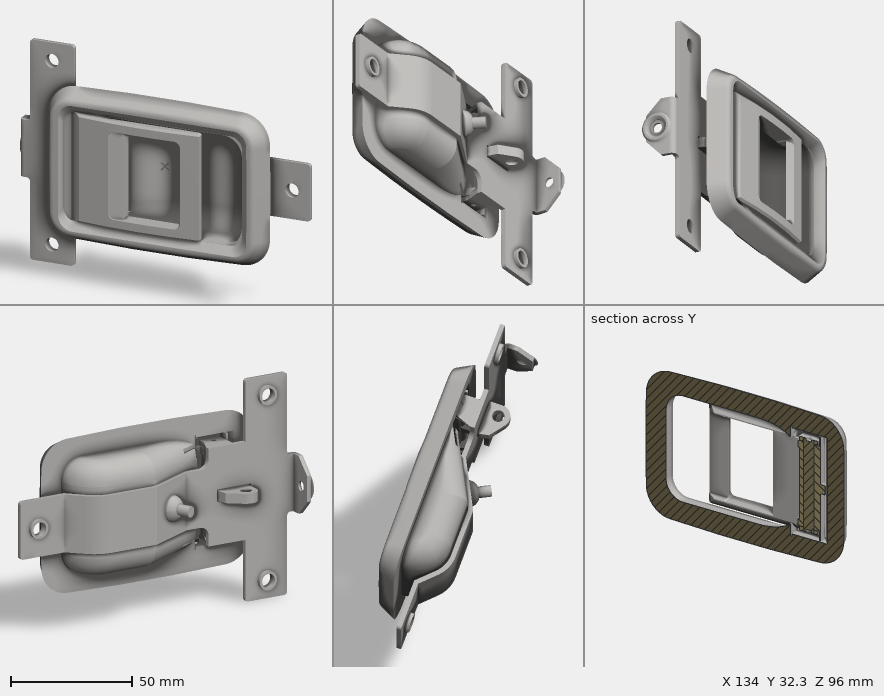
import cadquery as cq
import math


SHEET = 2.0
TOTAL_LENGTH = 134.0
STRIP_LEFT = 5.8
STRIP_WIDTH = 20.1
STRIP_RIGHT = STRIP_LEFT + STRIP_WIDTH
STRIP_HEIGHT = 96.0
BAND_HEIGHT = 24.9
CORNER_RADIUS = 1.3
FIX_HOLE = 6.0
FIX_SPACING = 80.1
TAB_HOLE_INSET = 8.3
COLLAR_DIAMETER = 8.3
COLLAR_HEIGHT = 1.7

RAMP_START = 54.0
RAMP_END = 74.7
RAMP_RISE = 10.6
RAMP_ANGLE = math.degrees(math.atan2(RAMP_RISE, RAMP_END - RAMP_START))
RAMP_SLOPE = RAMP_RISE / (RAMP_END - RAMP_START)
CREST_END = 96.3
CREST_RADIUS = 14.0
CREST_ROLL = 45.0

FLANGE_LEFT = 0.8
FLANGE_TOP = 13.0
FLANGE_TAPER_START = 6.2
BEND_RADIUS = 2.3

EAR_LEFT = 31.1
EAR_RIGHT = 43.5
EAR_TIP_RIGHT = 40.9
EAR_TIP = -10.0
EAR_INNER = 19.2
EAR_OUTER = EAR_INNER + SHEET
EAR_ROOT_RADIUS = 4.0

GROMMET_Y = 8.2
GROMMET_RIM_RADIUS = 6.5
GROMMET_FACE_RADIUS = 5.8
GROMMET_NECK_RADIUS = 4.8
GROMMET_BORE_RADIUS = 2.1
GROMMET_RECESS_RADIUS = 3.5
GROMMET_RECESS_DEPTH = 1.6
GROMMET_MOUTH_CHAMFER = 1.3

PIVOT_X = 35.9
PIVOT_Y = -6.8
PIN_RADIUS = 2.5
PIN_DIMPLE_RADIUS = 1.2
PIN_DIMPLE_DEPTH = 1.1

BEZEL_LEFT = 18.1
BEZEL_RIGHT = 118.5
BEZEL_BACK = -6.5
BEZEL_FRONT = -14.9
BEZEL_HALF_HEIGHT = 32.8
BEZEL_BOW_Z = 1.2
BEZEL_BOW_X = 0.4
BEZEL_CORNER = 12.9
BEZEL_INSET = 4.2
BEZEL_EDGE_RADIUS = 2.4
WALL = 1.0
DISH_RIGHT = 109.3
DISH_TOP = 9.8
DISH_HALF_HEIGHT = 24.8
DISH_END_RADIUS = 14.7
DISH_EDGE_RADIUS = 9.4
OPENING_LEFT = 26.9
OPENING_RIGHT = 44.5
LIP_X = 29.9
LIP_Y = -10.5
LIP_RELIEF_X = 26.3
MOUTH_DEPTH = 3.2
MOUTH_SLOPE = 3.5
MOUTH_LEFT_SLOPE = 1.1
MOUTH_BOW = 0.1
MOUTH_CORNER = 5.2
TONGUE_START = 45.7
TONGUE_END = 52.9
TONGUE_GAP = 1.0
BEAD_RADIUS = 0.7

PADDLE_LEFT = 29.7
PADDLE_RIGHT = 90.2
PADDLE_HALF_HEIGHT = 23.6
PADDLE_BEVEL = 34.8
PADDLE_LEFT_EDGE_Y = -10.0
PADDLE_PEAK_Y = -16.0
PADDLE_PEAK_X = 66.7
PADDLE_TIP_Y = -14.7
PADDLE_BACK = -8.3
PADDLE_HUB_BACK = -5.6
PADDLE_HUB_RIGHT = 40.9
PADDLE_BACK_END = 85.0
PADDLE_END_BACK = -12.0
PADDLE_EDGE = 1.0
PADDLE_BACK_MID = (PADDLE_HUB_RIGHT + PADDLE_BACK_END) / 2
PADDLE_BACK_CHAMFER = 3.9
WINDOW_LEFT = 48.9
WINDOW_RAMP_END = 54.9
WINDOW_RAMP_Y = -13.0
WINDOW_RIGHT = 81.8
WINDOW_DRAFT = 1.3
WINDOW_DRAFT_Y = -12.3
WINDOW_HALF_HEIGHT = 19.2
WINDOW_CORNER = 2.7
KNUCKLE_RADIUS = 5.5
KNUCKLE_INNER = 16.0
EAR_POCKET_Y = -10.3
EAR_POCKET_CLEARANCE = 0.4
EAR_POCKET_LEFT = EAR_LEFT - EAR_POCKET_CLEARANCE
EAR_POCKET_RIGHT = EAR_RIGHT + EAR_POCKET_CLEARANCE
LEVER_LEFT = 23.8
LEVER_RIGHT = 38.8
LEVER_HEEL_Y = -2.0
LEVER_ROOT_Y = -9.6
LEVER_SHOULDER_X = 38.0
LEVER_SHOULDER_Y = 6.4
LEVER_THICKNESS = 4.3
LEVER_EYE_X = 28.8
LEVER_EYE_Y = 7.2
LEVER_EYE_RADIUS = LEVER_EYE_X - LEVER_LEFT
LEVER_HOLE = 5.1
SLOT_CLEARANCE = 0.7

SCREW_X = 64.0
SCREW_RADIUS = 2.4
SCREW_HEAD_RADIUS = 5.2
SCREW_TIP = 9.1
DOME_RADIUS = 5.6
DOME_BULGE_RADIUS = 5.0
DOME_TOP_RADIUS = 2.8
DOME_HEIGHT = 3.6
CROSS_LENGTH = 4.5
CROSS_WIDTH = 0.8
CROSS_DEPTH = 1.1

MARGIN = 0.7
FAR = 134.0


def ramp_y(x, depth=0.0):
    """Height of the ramp at x, on a face lying `depth` below its rear face."""
    return SHEET + RAMP_SLOPE * (x - RAMP_START) - depth / math.cos(math.radians(RAMP_ANGLE))


def ramp_x(y, depth=0.0):
    """Place along X where that face reaches the height y."""
    return RAMP_START + (y - SHEET + depth / math.cos(math.radians(RAMP_ANGLE))) / RAMP_SLOPE


def along_z(half_height):
    """Workplane in XY, set so that an extrusion of twice half_height is centred on Z = 0."""
    return cq.Workplane("XY", origin=(0, 0, -half_height))


def box(x0, x1, y0, y1, z0, z1):
    return cq.Workplane("XY").box(x1 - x0, y1 - y0, z1 - z0, centered=False).translate((x0, y0, z0))


def cylinder_z(x, y, radius, z0, z1):
    return cq.Workplane("XY", origin=(x, y, z0)).circle(radius).extrude(z1 - z0)


def on_ramp(shape):
    """Place a shape built round the Z axis on the screw axis, Z = 0 on the rear face of the ramp."""
    upright = shape.rotate((0, 0, 0), (1, 0, 0), -90)
    tilted = upright.rotate((0, 0, 0), (0, 0, 1), RAMP_ANGLE)
    return tilted.translate((SCREW_X, ramp_y(SCREW_X), 0))


def screw_blank():
    """Countersunk screw without its driver recess, its head flush with the dish floor."""
    head_face = -(SHEET + WALL)
    head_depth = SCREW_HEAD_RADIUS - SCREW_RADIUS
    profile = [
        (0, head_face),
        (SCREW_HEAD_RADIUS, head_face),
        (SCREW_RADIUS, head_face + head_depth),
        (SCREW_RADIUS, SCREW_TIP),
        (0, SCREW_TIP),
    ]
    return on_ramp(cq.Workplane("XZ").polyline(profile).close().revolve(360, (0, 0, 0), (0, 1, 0)))


def make_screw():
    slot = cq.Workplane("XY").box(CROSS_LENGTH, CROSS_WIDTH, 2 * CROSS_DEPTH)
    slot = slot.translate((0, 0, -(SHEET + WALL)))
    screw = screw_blank()
    for angle in (45, 135):
        screw = screw.cut(on_ramp(slot.rotate((0, 0, 0), (0, 0, 1), angle)))
    return screw


def crest_point(radius, turn):
    """Point on the roll of the crest, `turn` degrees past its end."""
    angle = math.radians(turn)
    centre_y = SHEET + RAMP_RISE - CREST_RADIUS
    return (CREST_END + radius * math.sin(angle), centre_y + radius * math.cos(angle))


def band():
    """Middle band: flat, up the ramp, over the crest and down to the right tab."""
    inner_mid = crest_point(CREST_RADIUS - SHEET, CREST_ROLL / 2)
    inner_arc = crest_point(CREST_RADIUS - SHEET, CREST_ROLL)
    outer_mid = crest_point(CREST_RADIUS, CREST_ROLL / 2)
    outer_arc = crest_point(CREST_RADIUS, CREST_ROLL)
    rear_foot = outer_arc[0] + outer_arc[1] - SHEET
    front_foot = inner_arc[0] + inner_arc[1]
    return (
        along_z(BAND_HEIGHT / 2)
        .moveTo(FLANGE_LEFT + BEND_RADIUS, 0)
        .lineTo(ramp_x(0, SHEET), 0)
        .lineTo(ramp_x(RAMP_RISE, SHEET), RAMP_RISE)
        .lineTo(CREST_END, RAMP_RISE)
        .threePointArc(inner_mid, inner_arc)
        .lineTo(front_foot, 0)
        .lineTo(TOTAL_LENGTH, 0)
        .lineTo(TOTAL_LENGTH, SHEET)
        .lineTo(rear_foot, SHEET)
        .lineTo(*outer_arc)
        .threePointArc(outer_mid, (CREST_END, SHEET + RAMP_RISE))
        .lineTo(RAMP_END, SHEET + RAMP_RISE)
        .lineTo(RAMP_START, SHEET)
        .lineTo(FLANGE_LEFT + BEND_RADIUS, SHEET)
        .close()
        .extrude(BAND_HEIGHT)
        .edges("|Y and >X")
        .fillet(CORNER_RADIUS)
    )


def flange():
    """Left end bent into the door, its tip tapered at 45 degrees, bored for the grommet."""
    bent = (
        box(FLANGE_LEFT, STRIP_LEFT, 0, FLANGE_TOP, -BAND_HEIGHT / 2, BAND_HEIGHT / 2)
        .cut(box(FLANGE_LEFT + SHEET, STRIP_LEFT, SHEET, FLANGE_TOP, -BAND_HEIGHT / 2, BAND_HEIGHT / 2))
        .edges("|Z and <X and <Y")
        .fillet(BEND_RADIUS)
        .edges("|X and >Y")
        .chamfer(FLANGE_TOP - FLANGE_TAPER_START)
    )
    bore = (
        cq.Workplane("YZ", origin=(0, GROMMET_Y, 0))
        .circle(GROMMET_NECK_RADIUS)
        .extrude(FLANGE_LEFT + SHEET)
    )
    return bent.cut(bore)


def flat_plate():
    """Tall strip joined to the wider patch from which the ears are bent."""
    strip = (
        box(STRIP_LEFT, STRIP_RIGHT, 0, SHEET, -STRIP_HEIGHT / 2, STRIP_HEIGHT / 2)
        .edges("|Y")
        .fillet(CORNER_RADIUS)
    )
    patch = box(STRIP_LEFT + CORNER_RADIUS, EAR_RIGHT, 0, SHEET, -EAR_OUTER, EAR_OUTER)
    return strip.union(patch)


def ear():
    """Upper ear, bent out of the patch toward the paddle."""
    outline = [
        (EAR_LEFT, SHEET),
        (EAR_RIGHT, SHEET),
        (EAR_RIGHT, 0),
        (EAR_TIP_RIGHT, BEZEL_BACK),
        (EAR_TIP_RIGHT, EAR_TIP),
        (EAR_LEFT, EAR_TIP),
    ]
    return cq.Workplane("XY", origin=(0, 0, EAR_INNER)).polyline(outline).close().extrude(SHEET)


def collar(x, z):
    return cq.Workplane("XZ", origin=(x, SHEET, z)).circle(COLLAR_DIAMETER / 2).extrude(-COLLAR_HEIGHT)


def dome():
    """Swelling on the rear of the ramp round the screw."""
    bulge = (DOME_BULGE_RADIUS, DOME_HEIGHT / 2)
    profile = (
        cq.Workplane("XZ")
        .moveTo(0, -SHEET / 2)
        .lineTo(DOME_RADIUS, -SHEET / 2)
        .lineTo(DOME_RADIUS, 0)
        .threePointArc(bulge, (DOME_TOP_RADIUS, DOME_HEIGHT))
        .lineTo(0, DOME_HEIGHT)
        .close()
    )
    return on_ramp(profile.revolve(360, (0, 0, 0), (0, 1, 0)))


def plate_edges(x):
    """Selects the inner corners where the band meets the rest of the plate at x."""
    reach = BAND_HEIGHT / 2 + MARGIN
    low = (x - MARGIN, -MARGIN, -reach)
    high = (x + MARGIN, SHEET + MARGIN, reach)
    return cq.selectors.BoxSelector(low, high)


def make_bracket():
    bracket = flat_plate().union(band()).union(flange())
    bracket = bracket.edges(plate_edges(STRIP_LEFT)).edges("|Y").fillet(CORNER_RADIUS)
    bracket = bracket.edges(plate_edges(EAR_RIGHT)).edges("|Y").fillet(EAR_ROOT_RADIUS)
    bracket = bracket.union(ear()).union(ear().mirror("XY")).union(dome())
    strip_middle = STRIP_LEFT + STRIP_WIDTH / 2
    fixings = [
        (strip_middle, FIX_SPACING / 2),
        (strip_middle, -FIX_SPACING / 2),
        (TOTAL_LENGTH - TAB_HOLE_INSET, 0),
    ]
    for x, z in fixings:
        bracket = bracket.union(collar(x, z))
    holes = cq.Workplane("XZ", origin=(0, FAR / 2, 0)).pushPoints(fixings).circle(FIX_HOLE / 2).extrude(FAR)
    half_slot = LEVER_THICKNESS / 2 + SLOT_CLEARANCE
    lever_slot = box(
        LEVER_LEFT - SLOT_CLEARANCE, LEVER_RIGHT + SLOT_CLEARANCE, 0, SHEET, -half_slot, half_slot
    )
    pin_hole = cylinder_z(PIVOT_X, PIVOT_Y, PIN_RADIUS, -EAR_OUTER, EAR_OUTER)
    return bracket.cut(holes).cut(lever_slot).cut(pin_hole).cut(screw_blank())


def make_grommet():
    """Bush in the bent flange: conical rim outside, stepped bore through the middle."""
    inner_end = FLANGE_LEFT + SHEET
    profile = [
        (0, GROMMET_RECESS_RADIUS + GROMMET_MOUTH_CHAMFER),
        (0, GROMMET_FACE_RADIUS),
        (FLANGE_LEFT, GROMMET_RIM_RADIUS),
        (FLANGE_LEFT, GROMMET_NECK_RADIUS),
        (inner_end, GROMMET_NECK_RADIUS),
        (inner_end, GROMMET_BORE_RADIUS),
        (GROMMET_RECESS_DEPTH, GROMMET_BORE_RADIUS),
        (GROMMET_RECESS_DEPTH, GROMMET_RECESS_RADIUS),
        (GROMMET_MOUTH_CHAMFER, GROMMET_RECESS_RADIUS),
    ]
    turned = cq.Workplane("XY").polyline(profile).close().revolve(360, (0, 0, 0), (1, 0, 0))
    return turned.translate((0, GROMMET_Y, 0))


def rounded_frame(y, x0, x1, half_height, bow_x, bow_z, corner):
    """Wire in the plane at y: a rectangle with bowed sides and rounded corners."""
    centre_x = (x0 + x1) / 2
    slab = (
        cq.Workplane("XZ", origin=(0, y, 0))
        .moveTo(x0, -half_height)
        .threePointArc((centre_x, -half_height - bow_z), (x1, -half_height))
        .threePointArc((x1 + bow_x, 0), (x1, half_height))
        .threePointArc((centre_x, half_height + bow_z), (x0, half_height))
        .threePointArc((x0 - bow_x, 0), (x0, -half_height))
        .close()
        .extrude(1.3)
        .edges("|Y")
        .fillet(corner)
    )
    return slab.faces(">Y").wires().val()


def bezel():
    """Raised frame with slightly bowed sides, sloping walls and a rounded front edge."""
    outlines = [
        rounded_frame(
            y,
            BEZEL_LEFT + inset,
            BEZEL_RIGHT - inset,
            BEZEL_HALF_HEIGHT - inset,
            BEZEL_BOW_X,
            BEZEL_BOW_Z,
            BEZEL_CORNER - inset,
        )
        for y, inset in ((BEZEL_BACK, 0), (BEZEL_FRONT, BEZEL_INSET))
    ]
    solid = cq.Workplane(cq.Solid.makeLoft(outlines, True))
    return solid.faces("<Y").edges().fillet(BEZEL_EDGE_RADIUS)


def mouth():
    """Opening of the bezel, its rim sloping in to the walls of the dish."""
    half = DISH_HALF_HEIGHT - WALL
    right = DISH_RIGHT - WALL
    rim = rounded_frame(
        BEZEL_FRONT,
        OPENING_LEFT - MOUTH_LEFT_SLOPE,
        right + MOUTH_SLOPE,
        half + MOUTH_SLOPE,
        MOUTH_BOW,
        MOUTH_BOW,
        MOUTH_CORNER + MOUTH_LEFT_SLOPE,
    )
    throat = rounded_frame(
        BEZEL_FRONT + MOUTH_DEPTH, OPENING_LEFT, right, half, MOUTH_BOW, MOUTH_BOW, MOUTH_CORNER
    )
    return cq.Workplane(cq.Solid.makeLoft([rim, throat], True))


def dish_form(inset):
    """Solid form of the dish, every face moved inward by `inset`."""
    half = DISH_HALF_HEIGHT - inset
    top = DISH_TOP - inset
    right = DISH_RIGHT - inset
    depth = SHEET + inset
    end_radius = DISH_END_RADIUS - inset
    bend = math.sqrt(0.5) * end_radius
    form = (
        along_z(half)
        .moveTo(ramp_x(BEZEL_FRONT, depth), BEZEL_FRONT)
        .lineTo(right, BEZEL_FRONT)
        .lineTo(right, top - end_radius)
        .threePointArc((right - end_radius + bend, top - end_radius + bend), (right - end_radius, top))
        .lineTo(ramp_x(top, depth), top)
        .close()
        .extrude(2 * half)
    )
    rim = form.faces("<Z or >Z").edges("not <Y")
    return rim.fillet(DISH_EDGE_RADIUS - inset)


def make_housing():
    housing = bezel().union(dish_form(0))
    housing = housing.cut(dish_form(WALL)).cut(pivot_opening()).cut(mouth())
    return housing.cut(tongue_gap()).cut(tongue_relief()).union(tongue_bead()).cut(screw_blank())


def pivot_opening():
    """Opening behind the pivot, with a sloping lip on its left that clears the lever."""
    half = DISH_HALF_HEIGHT - WALL
    throat_y = BEZEL_FRONT + MOUTH_DEPTH
    outline = [
        (OPENING_LEFT, throat_y),
        (LIP_X, LIP_Y),
        (LIP_RELIEF_X, BEZEL_BACK),
        (OPENING_RIGHT, BEZEL_BACK),
        (OPENING_RIGHT, throat_y),
    ]
    return along_z(half).polyline(outline).close().extrude(2 * half)


def tongue_relief():
    """Clears the sloping wall below the free end of the tongue."""
    return box(OPENING_LEFT, TONGUE_START, BEZEL_BACK, DISH_TOP, -DISH_HALF_HEIGHT, DISH_HALF_HEIGHT)


def tongue_gap():
    """Slit through both side walls that frees the lower end of the sloping wall."""
    upper = SHEET + WALL
    lower = upper + TONGUE_GAP
    outline = [
        (OPENING_RIGHT, ramp_y(OPENING_RIGHT, upper)),
        (TONGUE_END, ramp_y(TONGUE_END, upper)),
        (TONGUE_END, ramp_y(TONGUE_END, lower)),
        (OPENING_RIGHT, ramp_y(OPENING_RIGHT, lower)),
    ]
    return along_z(DISH_HALF_HEIGHT).polyline(outline).close().extrude(2 * DISH_HALF_HEIGHT)


def tongue_bead():
    """Rounded lip on the free end of the tongue."""
    half = DISH_HALF_HEIGHT - DISH_EDGE_RADIUS
    y = ramp_y(TONGUE_START, SHEET + WALL / 2)
    return cylinder_z(TONGUE_START, y, BEAD_RADIUS, -half, half)


def paddle_front(x):
    """Height of the bowed front face at x."""
    fall = (PADDLE_TIP_Y - PADDLE_PEAK_Y) / (PADDLE_RIGHT - PADDLE_PEAK_X) ** 2
    return PADDLE_PEAK_Y + fall * (x - PADDLE_PEAK_X) ** 2


def paddle_plate():
    """Bowed plate with a bevelled left end and a thicker hub round the pivot."""
    return (
        along_z(PADDLE_HALF_HEIGHT)
        .moveTo(PADDLE_LEFT, PADDLE_HUB_BACK)
        .lineTo(PADDLE_LEFT, PADDLE_LEFT_EDGE_Y)
        .lineTo(PADDLE_BEVEL, paddle_front(PADDLE_BEVEL))
        .threePointArc((PADDLE_PEAK_X, PADDLE_PEAK_Y), (PADDLE_RIGHT, PADDLE_TIP_Y))
        .lineTo(PADDLE_RIGHT, PADDLE_END_BACK)
        .lineTo(PADDLE_BACK_END, PADDLE_BACK)
        .lineTo(PADDLE_HUB_RIGHT, PADDLE_BACK)
        .lineTo(PADDLE_HUB_RIGHT, PADDLE_HUB_BACK)
        .close()
        .extrude(2 * PADDLE_HALF_HEIGHT)
        .edges(cq.selectors.NearestToPointSelector((PADDLE_BACK_MID, PADDLE_BACK, PADDLE_HALF_HEIGHT)))
        .chamfer(PADDLE_BACK_CHAMFER)
        .edges(cq.selectors.NearestToPointSelector((PADDLE_BACK_MID, PADDLE_BACK, -PADDLE_HALF_HEIGHT)))
        .chamfer(PADDLE_BACK_CHAMFER)
        .edges("|Y and >X")
        .chamfer(PADDLE_EDGE)
        .faces("<Z or >Z")
        .edges("%CIRCLE")
        .chamfer(PADDLE_EDGE)
    )


def window():
    """Finger opening: shallow ramp on the left, drafted wall on the right."""
    outline = [
        (WINDOW_LEFT, paddle_front(WINDOW_LEFT)),
        (WINDOW_RAMP_END, WINDOW_RAMP_Y),
        (WINDOW_RAMP_END, PADDLE_BACK),
        (WINDOW_RIGHT - WINDOW_DRAFT, PADDLE_BACK),
        (WINDOW_RIGHT - WINDOW_DRAFT, WINDOW_DRAFT_Y),
        (WINDOW_RIGHT, paddle_front(WINDOW_RIGHT)),
        (WINDOW_RIGHT, PADDLE_PEAK_Y - MARGIN),
        (WINDOW_LEFT, PADDLE_PEAK_Y - MARGIN),
    ]
    prism = along_z(WINDOW_HALF_HEIGHT).polyline(outline).close().extrude(2 * WINDOW_HALF_HEIGHT)
    rounded = (
        box(WINDOW_LEFT, WINDOW_RIGHT, -FAR, FAR, -WINDOW_HALF_HEIGHT, WINDOW_HALF_HEIGHT)
        .edges("|Y")
        .fillet(WINDOW_CORNER)
    )
    return prism.intersect(rounded)


def lever():
    """Lever on the mid plane, with a round eye for the control rod."""
    eye = (LEVER_EYE_X, LEVER_EYE_Y)
    shoulder = (LEVER_SHOULDER_X, LEVER_SHOULDER_Y)
    reach = math.hypot(shoulder[0] - eye[0], shoulder[1] - eye[1])
    heading = math.atan2(shoulder[1] - eye[1], shoulder[0] - eye[0])
    tangent = heading + math.acos(LEVER_EYE_RADIUS / reach)
    middle = (tangent + math.pi) / 2
    touch = [
        (eye[0] + LEVER_EYE_RADIUS * math.cos(a), eye[1] + LEVER_EYE_RADIUS * math.sin(a))
        for a in (middle, tangent)
    ]
    return (
        along_z(LEVER_THICKNESS / 2)
        .moveTo(LEVER_LEFT, LEVER_EYE_Y)
        .threePointArc(*touch)
        .lineTo(*shoulder)
        .lineTo(LEVER_RIGHT, SHEET)
        .lineTo(LEVER_RIGHT, PADDLE_BACK)
        .lineTo(PADDLE_LEFT, LEVER_ROOT_Y)
        .lineTo(LEVER_LEFT, LEVER_HEEL_Y)
        .close()
        .extrude(LEVER_THICKNESS)
        .cut(cylinder_z(*eye, LEVER_HOLE / 2, -LEVER_THICKNESS, LEVER_THICKNESS))
    )


def make_paddle():
    paddle = paddle_plate().cut(window()).union(lever())
    for z0, z1 in ((KNUCKLE_INNER, EAR_INNER), (-EAR_INNER, -KNUCKLE_INNER)):
        paddle = paddle.union(cylinder_z(PIVOT_X, PIVOT_Y, KNUCKLE_RADIUS, z0, z1))
    for z0, z1 in ((EAR_INNER, FAR), (-FAR, -EAR_INNER)):
        paddle = paddle.cut(box(EAR_POCKET_LEFT, EAR_POCKET_RIGHT, EAR_POCKET_Y, 0, z0, z1))
    grip = box(
        WINDOW_RIGHT - WINDOW_DRAFT,
        PADDLE_RIGHT,
        WINDOW_DRAFT_Y,
        PADDLE_BACK,
        -WINDOW_HALF_HEIGHT,
        WINDOW_HALF_HEIGHT,
    )
    paddle = paddle.cut(grip)
    return paddle.cut(cylinder_z(PIVOT_X, PIVOT_Y, PIN_RADIUS, -EAR_OUTER, EAR_OUTER))


def make_pin():
    """Pivot pin, flush with the ears and dimpled at both ends."""
    pin = cylinder_z(PIVOT_X, PIVOT_Y, PIN_RADIUS, -EAR_OUTER, EAR_OUTER)
    for end in (-EAR_OUTER, EAR_OUTER):
        dimple = cylinder_z(
            PIVOT_X, PIVOT_Y, PIN_DIMPLE_RADIUS, end - PIN_DIMPLE_DEPTH, end + PIN_DIMPLE_DEPTH
        )
        pin = pin.cut(dimple)
    return pin


bracket = make_bracket()
grommet = make_grommet()
housing = make_housing()
paddle = make_paddle()
pin = make_pin()
screw = make_screw()

bodies = [bracket, grommet, housing, paddle, pin, screw]
result = cq.Compound.makeCompound([body.solids().val() for body in bodies])